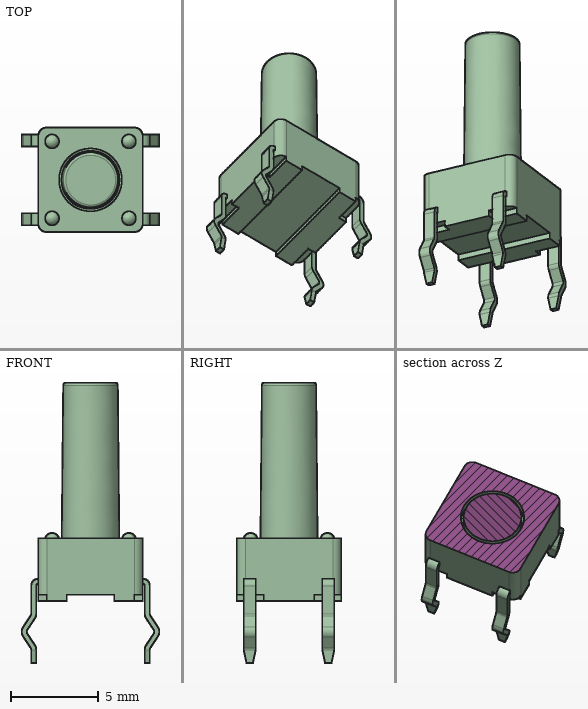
import cadquery as cq
import math


HOUSING_SIZE = 6.0
HOUSING_TOP = 3.6
CORNER_RADIUS = 0.5
corner_tangent = HOUSING_SIZE / 2 - CORNER_RADIUS

FOOT_HEIGHT = 0.35
SLOT_WIDTH = 2.7
SIDE_FOOT_WIDTH = 2.9

DOME_DIAMETER = 0.8
DOME_HEIGHT = 0.3
DOME_OFFSET = 2.2

WELL_DIAMETER = 3.6
WELL_DEPTH = 1.0
well_floor = HOUSING_TOP - WELL_DEPTH

PLUNGER_TOP = 12.5
PLUNGER_BASE_DIAMETER = 3.33
PLUNGER_TOP_DIAMETER = 3.14
PLUNGER_EDGE_RADIUS = 0.15

LEAD_THICKNESS = 0.3
LEAD_WIDTH = 0.7
LEAD_SPACING = 4.5
LEAD_OUTER_X = 3.4
LEAD_TOP = 1.28
LEAD_TIP = -3.55
SHOULDER_OUTER_RADIUS = 0.4
KINK_REACH = 3.945
KINK_OUTER_RADIUS = 0.5
KINK_MIDDLE = -1.76
KINK_ANGLE = math.radians(33.5)
TAPER_TOP = -2.8
TIP_WIDTH = 0.38


def make_block():
    """Round-cornered block carried on feet, with the plunger well in its top."""
    upper = (
        cq.Workplane("XY", origin=(0, 0, FOOT_HEIGHT))
        .rect(HOUSING_SIZE, HOUSING_SIZE)
        .extrude(HOUSING_TOP - FOOT_HEIGHT)
        .edges("|Z")
        .fillet(CORNER_RADIUS)
    )
    long_feet = cq.Workplane("XY").rect(2 * corner_tangent, HOUSING_SIZE).extrude(FOOT_HEIGHT)
    side_feet = cq.Workplane("XY").rect(HOUSING_SIZE, SIDE_FOOT_WIDTH).extrude(FOOT_HEIGHT)
    slot = cq.Workplane("XY").rect(SLOT_WIDTH, HOUSING_SIZE).extrude(FOOT_HEIGHT)
    feet = long_feet.union(side_feet).cut(slot)
    well = cq.Workplane("XY", origin=(0, 0, well_floor)).circle(WELL_DIAMETER / 2).extrude(WELL_DEPTH)
    return upper.union(feet).cut(well)


def make_dome():
    """Spherical cap on the housing top, centred on the Z axis."""
    rim_radius = DOME_DIAMETER / 2
    sphere_radius = (rim_radius**2 + DOME_HEIGHT**2) / (2 * DOME_HEIGHT)
    sphere_center = HOUSING_TOP + DOME_HEIGHT - sphere_radius
    sphere = cq.Workplane("XY", origin=(0, 0, sphere_center)).sphere(sphere_radius)
    above_top = cq.Workplane("XY", origin=(0, 0, HOUSING_TOP)).circle(sphere_radius).extrude(DOME_HEIGHT)
    return sphere.intersect(above_top)


def round_bend(strip, corners, radii):
    """Round the two edges along Y of one bend, each corner with its own radius."""
    for (x, z), radius in zip(corners, radii):
        edge = cq.selectors.NearestToPointSelector((x, 0, z))
        strip = strip.edges("|Y").edges(edge).fillet(radius)
    return strip


def make_lead():
    """Terminal on the +X side, centred on Y = 0."""
    inner_x = LEAD_OUTER_X - LEAD_THICKNESS
    shoulder_bottom = LEAD_TOP - LEAD_THICKNESS
    outer_apex = KINK_REACH + KINK_OUTER_RADIUS * (1 / math.cos(KINK_ANGLE) - 1)
    inner_apex = outer_apex - LEAD_THICKNESS / math.cos(KINK_ANGLE)
    outer_rise = (outer_apex - LEAD_OUTER_X) / math.tan(KINK_ANGLE)
    inner_rise = (inner_apex - inner_x) / math.tan(KINK_ANGLE)

    outer_bends = [
        (LEAD_OUTER_X, LEAD_TOP),
        (LEAD_OUTER_X, KINK_MIDDLE + outer_rise),
        (outer_apex, KINK_MIDDLE),
        (LEAD_OUTER_X, KINK_MIDDLE - outer_rise),
    ]
    inner_bends = [
        (inner_x, shoulder_bottom),
        (inner_x, KINK_MIDDLE + inner_rise),
        (inner_apex, KINK_MIDDLE),
        (inner_x, KINK_MIDDLE - inner_rise),
    ]
    outer_line = [(corner_tangent, LEAD_TOP), *outer_bends, (LEAD_OUTER_X, LEAD_TIP)]
    inner_line = [(corner_tangent, shoulder_bottom), *inner_bends, (inner_x, LEAD_TIP)]
    strip = (
        cq.Workplane("XZ")
        .polyline(outer_line + inner_line[::-1])
        .close()
        .extrude(LEAD_WIDTH / 2, both=True)
    )

    shoulder_radii = (SHOULDER_OUTER_RADIUS, SHOULDER_OUTER_RADIUS - LEAD_THICKNESS)
    apex_radii = (KINK_OUTER_RADIUS, KINK_OUTER_RADIUS - LEAD_THICKNESS)
    bend_radii = [shoulder_radii, apex_radii[::-1], apex_radii, apex_radii[::-1]]
    for outer_corner, inner_corner, radii in zip(outer_bends, inner_bends, bend_radii):
        strip = round_bend(strip, (outer_corner, inner_corner), radii)
    return taper_tip(strip)


def taper_tip(strip):
    """Trim both sides of the strip down to a narrow end."""
    half_width = LEAD_WIDTH / 2
    half_tip = TIP_WIDTH / 2
    for side in (1, -1):
        trim = (
            cq.Workplane("YZ")
            .moveTo(side * half_width, TAPER_TOP)
            .lineTo(side * half_width, LEAD_TIP)
            .lineTo(side * half_tip, LEAD_TIP)
            .close()
            .extrude(KINK_REACH)
        )
        strip = strip.cut(trim)
    return strip


def make_housing():
    """Block with a dome near each corner and two terminals on each X side."""
    body = make_block()
    dome = make_dome()
    right_lead = make_lead()
    left_lead = right_lead.mirror("YZ")
    for side_x, lead in ((1, right_lead), (-1, left_lead)):
        for side_y in (1, -1):
            body = body.union(dome.translate((side_x * DOME_OFFSET, side_y * DOME_OFFSET, 0)))
            body = body.union(lead.translate((0, side_y * LEAD_SPACING / 2, 0)))
    return body


def make_plunger():
    """Slightly tapered round stem with a rounded top edge, standing on the well floor."""
    return (
        cq.Workplane("XZ")
        .moveTo(0, well_floor)
        .lineTo(PLUNGER_BASE_DIAMETER / 2, well_floor)
        .lineTo(PLUNGER_TOP_DIAMETER / 2, PLUNGER_TOP)
        .lineTo(0, PLUNGER_TOP)
        .close()
        .revolve(360, (0, 0), (0, 1))
        .faces(">Z")
        .edges()
        .fillet(PLUNGER_EDGE_RADIUS)
    )


housing = make_housing()
plunger = make_plunger()
result = cq.Compound.makeCompound([housing.solids().val(), plunger.solids().val()])